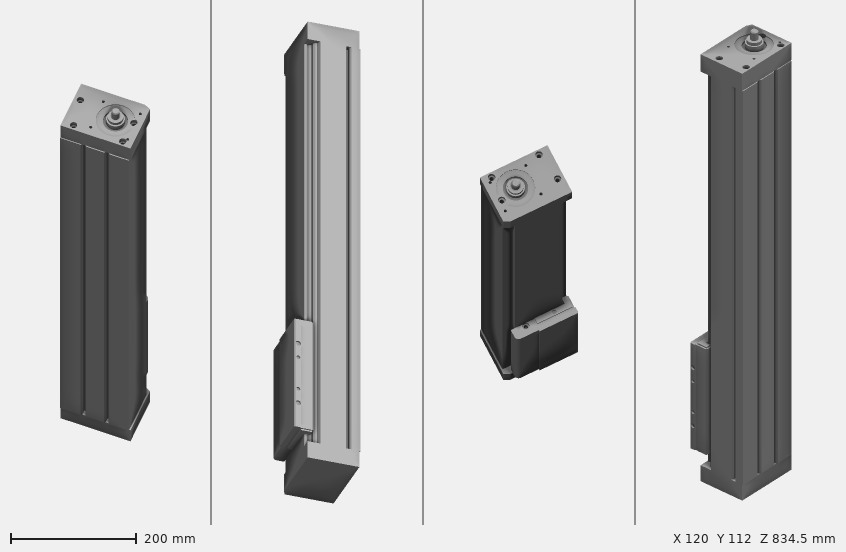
import cadquery as cq

width = 120.0
total_depth = 112.0
total_length = 834.5

cap_front = 2.0
cap_back = 89.0
cap_corner_x = 10.0
cap_corner_y = 5.0
lower_cap_height = 30.0
upper_cap_bottom = 775.0
upper_cap_top = 808.0

shaft_x = 78.0
shaft_y = 43.0
shaft_diameter = 13.0
shaft_chamfer = 2.0
collar_diameter = 25.0
journal_diameter = 30.0
shaft_shoulder = 819.0
collar_shoulder = 813.0
bearing_diameter = 40.0
bearing_depth = 5.0
pilot_diameter = 63.0
pilot_depth = 2.0

mount_pitch_x = 63.5
mount_pitch_y = 53.0
mount_hole_diameter = 4.9
mount_hole_depth = 12.5
screw_places = [(11.0, 59.0), (19.0, 10.0), (106.0, 51.0), (103.5, 10.0)]
screw_head_diameter = 12.0
screw_head_depth = 8.0
screw_hole_diameter = 7.0

profile_width = 118.0
side_height = 68.0
shoulder_x = 7.0
shoulder_bottom = 71.0
shoulder_slope = 3.0
rail_chamfer = 2.1
groove_below_top = 4.0
groove_depth = 2.5
rail_inset = 16.0
ledge_height = 77.0
slot_pitch = width / 3
side_slot_y = 20.0
slot_mouth = 9.0
slot_width = 5.0
slot_lip = 2.1
slot_depth = 10.0

carriage_width = 109.0
carriage_bottom = 53.0
carriage_length = 199.5
step_x = 69.0
step_height = 2.5
edge_round = 7.5
leg_inset = 2.0
leg_top = 101.0
leg_bottom = 78.0
leg_width = 13.0
leg_chamfer = 2.5
face_chamfer = 2.0
seal_left = 4.0
seal_right = 67.0
seal_top = 99.0
seal_thickness = 2.5
seal_hole_x = 34.0
seal_hole_diameter = 7.0
end_hole_x = 85.0
end_hole_diameter = 12.0
end_hole_y = 94.0
end_bore_diameter = 7.0
end_bore_recess = 4.0
end_bore_depth = 17.0
side_hole_y = 105.0
side_hole_depth = 3.0
outer_hole_offset = 55.0
outer_hole_diameter = 8.0
inner_hole_offset = 29.0
inner_hole_diameter = 7.0


def cylinder(x, y, bottom, top, diameter):
    """Upright cylinder between two heights."""
    return cq.Workplane("XY", origin=(x, y, bottom)).circle(diameter / 2).extrude(top - bottom)


def side_cylinder(y, z, depth, diameter):
    """Cylinder going in from the -X side."""
    return cq.Workplane("YZ", origin=(0, y, z)).circle(diameter / 2).extrude(depth)


def cap_block(bottom, top):
    """End cap plate with one bevelled corner."""
    outline = [
        (0, cap_front),
        (width, cap_front),
        (width, cap_back - cap_corner_y),
        (width - cap_corner_x, cap_back),
        (0, cap_back),
    ]
    return cq.Workplane("XY", origin=(0, 0, bottom)).polyline(outline).close().extrude(top - bottom)


def make_lower_cap():
    return cap_block(0, lower_cap_height)


def make_upper_cap():
    cap = cap_block(upper_cap_bottom, upper_cap_top)
    cap = cap.cut(cylinder(shaft_x, shaft_y, upper_cap_top - pilot_depth, upper_cap_top, pilot_diameter))
    cap = cap.cut(cylinder(shaft_x, shaft_y, upper_cap_top - bearing_depth, upper_cap_top, bearing_diameter))
    cap = cap.cut(cylinder(shaft_x, shaft_y, upper_cap_bottom, upper_cap_top, journal_diameter))
    for side_x in (-1, 1):
        for side_y in (-1, 1):
            x = shaft_x + side_x * mount_pitch_x / 2
            y = shaft_y + side_y * mount_pitch_y / 2
            cap = cap.cut(cylinder(x, y, upper_cap_top - mount_hole_depth, upper_cap_top, mount_hole_diameter))
    for x, y in screw_places:
        cap = cap.cut(cylinder(x, y, upper_cap_bottom, upper_cap_top, screw_hole_diameter))
        cap = cap.cut(cylinder(x, y, upper_cap_top - screw_head_depth, upper_cap_top, screw_head_diameter))
    return cap


def make_shaft():
    shaft = cylinder(shaft_x, shaft_y, upper_cap_bottom, collar_shoulder, journal_diameter)
    shaft = shaft.union(cylinder(shaft_x, shaft_y, collar_shoulder, shaft_shoulder, collar_diameter))
    shaft = shaft.union(cylinder(shaft_x, shaft_y, shaft_shoulder, total_length, shaft_diameter))
    return shaft.faces(">Z").edges().chamfer(shaft_chamfer)


def slot_cutter():
    """Slot with bevelled lips, centred on X = 0 and going in along +Y."""
    half_mouth = slot_mouth / 2
    half_slot = slot_width / 2
    outline = [
        (-half_mouth, 0),
        (half_mouth, 0),
        (half_slot, slot_lip),
        (half_slot, slot_depth),
        (-half_slot, slot_depth),
        (-half_slot, slot_lip),
    ]
    length = upper_cap_bottom - lower_cap_height
    return cq.Workplane("XY", origin=(0, 0, lower_cap_height)).polyline(outline).close().extrude(length)


def make_profile():
    """Slotted bar with a raised rail between two side ledges, grooved on its -X side."""
    far_rail = profile_width - rail_inset
    groove_top = cap_back - groove_below_top
    groove_bottom = groove_top - 2 * groove_depth
    outline = [
        (0, 0),
        (profile_width, 0),
        (profile_width, ledge_height),
        (far_rail, ledge_height),
        (far_rail, cap_back),
        (rail_inset + rail_chamfer, cap_back),
        (rail_inset, cap_back - rail_chamfer),
        (rail_inset, groove_top),
        (rail_inset + groove_depth, groove_top - groove_depth),
        (rail_inset, groove_bottom),
        (rail_inset, ledge_height),
        (shoulder_x + shoulder_slope, ledge_height),
        (shoulder_x, ledge_height - shoulder_slope),
        (shoulder_x, shoulder_bottom),
        (0, side_height),
    ]
    length = upper_cap_bottom - lower_cap_height
    profile = cq.Workplane("XY", origin=(0, 0, lower_cap_height)).polyline(outline).close().extrude(length)
    for x in (slot_pitch, 2 * slot_pitch):
        profile = profile.cut(slot_cutter().translate((x, 0, 0)))
    side_slot = slot_cutter().rotate((0, 0, 0), (0, 0, 1), -90)
    return profile.cut(side_slot.translate((0, side_slot_y, 0)))


def make_carriage():
    outline = [
        (0, leg_top),
        (leg_inset, leg_top),
        (leg_inset, leg_bottom + leg_chamfer),
        (leg_inset + leg_chamfer, leg_bottom),
        (leg_width, leg_bottom),
        (leg_width, cap_back),
        (carriage_width, cap_back),
        (carriage_width, total_depth - step_height),
        (step_x, total_depth - step_height),
        (step_x, total_depth),
        (face_chamfer, total_depth),
        (0, total_depth - face_chamfer),
    ]
    top = carriage_bottom + carriage_length
    plate = cq.Workplane("XY", origin=(0, 0, carriage_bottom)).polyline(outline).close()
    carriage = plate.extrude(carriage_length).faces(">X").edges(">Y").fillet(edge_round)
    seal_outline = [
        (seal_left, leg_bottom + leg_chamfer),
        (leg_width, leg_bottom + leg_chamfer),
        (leg_width, cap_back),
        (seal_right, cap_back),
        (seal_right, seal_top),
        (seal_left, seal_top),
    ]
    seal = cq.Workplane("XY", origin=(0, 0, carriage_bottom - seal_thickness)).polyline(seal_outline).close()
    carriage = carriage.union(seal.extrude(carriage_length + 2 * seal_thickness))
    seal_face = top + seal_thickness
    carriage = carriage.cut(cylinder(seal_hole_x, end_hole_y, top, seal_face, seal_hole_diameter))
    carriage = carriage.cut(cylinder(end_hole_x, end_hole_y, top - end_bore_recess, top, end_hole_diameter))
    carriage = carriage.cut(cylinder(end_hole_x, end_hole_y, top - end_bore_depth, top, end_bore_diameter))
    middle = carriage_bottom + carriage_length / 2
    for side in (-1, 1):
        for offset, diameter in (
            (outer_hole_offset, outer_hole_diameter),
            (inner_hole_offset, inner_hole_diameter),
        ):
            carriage = carriage.cut(side_cylinder(side_hole_y, middle + side * offset, side_hole_depth, diameter))
    return carriage


profile = make_profile()
lower_cap = make_lower_cap()
upper_cap = make_upper_cap()
shaft = make_shaft()
carriage = make_carriage()

result = cq.Compound.makeCompound(
    [profile.val(), lower_cap.val(), upper_cap.val(), shaft.val(), carriage.val()]
)